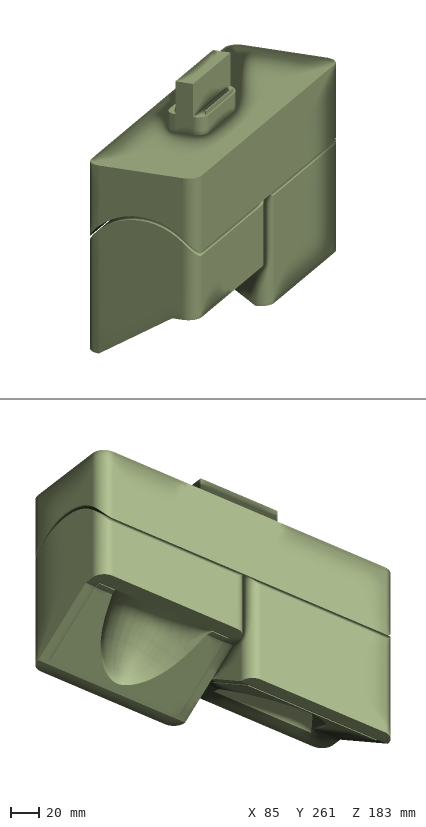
import cadquery as cq
import math

LENGTH = 261.0
WIDTH = 85.0
HEIGHT = 183.0
CORNER_R = 10.2

HOUSING_TOP = 142.8
ARCH_R = 50.0
JAW_CREST = 105.7
ARCH_GAP = 3.0

JAW_GAP = 1.0
JAW_LENGTH = (LENGTH - JAW_GAP) / 2
SHOULDER_Z = 35.2
SHOULDER_X = 24.3
TOE_X = WIDTH / 2 - CORNER_R

PAD_HEIGHT = 0.5
PAD_END_INSET = 8.0
PAD_TOE_INSET = 2.5
PAD_LIP = 5.5

PIT_AXIS_OFFSET = 9.0
PIT_POLE = 3.5
PIT_MID = 22.2
PIT_MID_R = 25.3
PIT_SHOULDER = 50.0
PIT_SHOULDER_R = 38.4
PIT_END_R = 43.5
PIT_OVERRUN = 4.7

NECK_CENTRE_Y = 1.3
NECK_R = 11.7
HANDLE_BOTTOM = 144.3
BASE_TOP = 158.0
BASE_CENTRE_Y = 2.0
BASE_R = 15.1
BASE_FRONT_Y = -52.0
BASE_FRONT_R = 8.4
BLADE_WIDTH = 13.5
HANDLE_BACK_Y = 16.0
MARK_X = 13.3
MARK_WIDTH = 0.8
MARK_BACK_Y = 5.2
MARK_FRONT_Y = -45.2
MARK_TOP = 161.0


def box_between(x_range, y_range, z_range):
    """Box spanning the given coordinate ranges."""
    (x0, x1), (y0, y1), (z0, z1) = x_range, y_range, z_range
    return cq.Workplane("XY").box(x1 - x0, y1 - y0, z1 - z0, centered=False).translate((x0, y0, z0))


def rounded_block(length, y_centre, top):
    """Full-width block standing on Z = 0 with rounded vertical corners."""
    block = cq.Workplane("XY").box(WIDTH, length, top, centered=(True, True, False))
    return block.edges("|Z").fillet(CORNER_R).translate((0, y_centre, 0))


def under_arch(crest):
    """Everything below an arched surface that runs along Y."""
    side_z = crest - ARCH_R + math.sqrt(ARCH_R**2 - (WIDTH / 2) ** 2)
    outline = (
        cq.Workplane("XZ")
        .moveTo(-WIDTH / 2, 0)
        .lineTo(-WIDTH / 2, side_z)
        .threePointArc((0, crest), (WIDTH / 2, side_z))
        .lineTo(WIDTH / 2, 0)
        .close()
    )
    return outline.extrude(LENGTH / 2, both=True)


def make_handle():
    """Neck, rounded base, upright blade and a thin raised mark."""
    neck = (
        cq.Workplane("XY", origin=(0, NECK_CENTRE_Y, HOUSING_TOP))
        .circle(NECK_R)
        .extrude(HANDLE_BOTTOM - HOUSING_TOP)
    )
    base_height = BASE_TOP - HANDLE_BOTTOM
    round_end = (
        cq.Workplane("XY", origin=(0, BASE_CENTRE_Y, HANDLE_BOTTOM)).circle(BASE_R).extrude(base_height)
    )
    base = box_between((-BASE_R, BASE_R), (BASE_FRONT_Y, BASE_CENTRE_Y), (HANDLE_BOTTOM, BASE_TOP))
    base = base.edges("|Z and <Y").fillet(BASE_FRONT_R).union(round_end)
    base = base.intersect(
        box_between((-BASE_R, BASE_R), (BASE_FRONT_Y, HANDLE_BACK_Y), (HANDLE_BOTTOM, BASE_TOP))
    )
    blade = box_between(
        (-BLADE_WIDTH / 2, BLADE_WIDTH / 2), (BASE_FRONT_Y, HANDLE_BACK_Y), (HANDLE_BOTTOM, HEIGHT)
    )
    mark = box_between(
        (MARK_X - MARK_WIDTH / 2, MARK_X + MARK_WIDTH / 2), (MARK_FRONT_Y, MARK_BACK_Y), (BASE_TOP, MARK_TOP)
    )
    return neck.union(base).union(blade).union(mark)


def make_housing():
    """Arched housing with the handle as part of it."""
    housing = rounded_block(LENGTH, 0, HOUSING_TOP).cut(under_arch(JAW_CREST + ARCH_GAP))
    return housing.union(make_handle())


slope_run = TOE_X + SHOULDER_X
slope_length = math.hypot(slope_run, SHOULDER_Z)
up_slope = cq.Vector(-slope_run / slope_length, 0, SHOULDER_Z / slope_length)
out_of_slope = cq.Vector(-up_slope.z, 0, up_slope.x)


def slope_void(y_centre):
    """Space below the slope and the shoulder."""
    outline = (
        cq.Workplane("XZ")
        .polyline([(TOE_X, 0), (-SHOULDER_X, SHOULDER_Z), (-WIDTH / 2, SHOULDER_Z), (-WIDTH / 2, 0)])
        .close()
    )
    return outline.extrude(JAW_LENGTH / 2, both=True).translate((0, y_centre, 0))


def slope_pad(y_centre):
    """Thin pad on the slope that turns over the shoulder as a short lip."""
    foot = cq.Vector(TOE_X, 0, 0) + up_slope * PAD_TOE_INSET
    raised_foot = foot + out_of_slope * PAD_HEIGHT
    lip_x = -SHOULDER_X - PAD_LIP
    lip_z = SHOULDER_Z - PAD_HEIGHT
    rise = (lip_z - raised_foot.z) / up_slope.z
    corner_x = raised_foot.x + rise * up_slope.x
    outline = (
        cq.Workplane("XZ")
        .polyline(
            [
                (foot.x, foot.z),
                (raised_foot.x, raised_foot.z),
                (corner_x, lip_z),
                (lip_x, lip_z),
                (lip_x, SHOULDER_Z),
                (-SHOULDER_X, SHOULDER_Z),
            ]
        )
        .close()
    )
    return outline.extrude(JAW_LENGTH / 2 - PAD_END_INSET, both=True).translate((0, y_centre, 0))


def slope_pit(y_centre):
    """Domed pit widening up the slope and ending in a flat wall past the shoulder."""
    origin = cq.Vector(TOE_X, y_centre, 0) + out_of_slope * PIT_AXIS_OFFSET
    plane = cq.Plane(origin=origin, xDir=(0, 1, 0), normal=cq.Vector(0, 1, 0).cross(up_slope))
    end = slope_length + PIT_OVERRUN
    profile = (
        cq.Workplane(plane)
        .moveTo(0, PIT_POLE)
        .spline([(PIT_MID_R, PIT_MID), (PIT_SHOULDER_R, PIT_SHOULDER), (PIT_END_R, end)], includeCurrent=True)
        .lineTo(0, end)
        .close()
    )
    return profile.revolve(360, (0, 0), (0, 1))


def make_back_jaw():
    """Jaw on the +Y half, deepest on its +X side."""
    y_centre = (JAW_LENGTH + JAW_GAP) / 2
    jaw = rounded_block(JAW_LENGTH, y_centre, JAW_CREST).intersect(under_arch(JAW_CREST))
    jaw = jaw.cut(slope_void(y_centre)).union(slope_pad(y_centre))
    return jaw.cut(slope_pit(y_centre))


housing = make_housing()
back_jaw = make_back_jaw()
jaws = [back_jaw.rotate((0, 0, 0), (0, 0, 1), turn) for turn in (0, 180)]

result = cq.Compound.makeCompound([housing.val(), *[jaw.val() for jaw in jaws]])